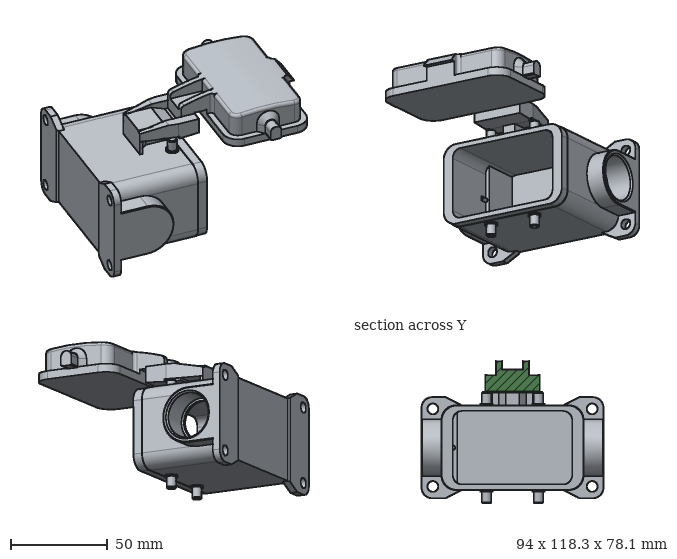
import cadquery as cq
import math


flange_half_x = 47.0
flange_half_z = 26.1
flange_thick = 4.0
flange_corner = 5.7
flange_taper_x = 34.5
flange_inner_x = 26.3
hole_x = 41.0
hole_z = 20.0
hole_diameter = 5.5

housing_half_x = 36.7
housing_half_z = 21.9
housing_front_y = 1.0
housing_back_y = 57.0
housing_corner = 7.7
rim_depth = 5.2
rim_inset = 0.2
side_wall = 3.0
end_wall = 5.9
floor_y = 4.7
step_y = 26.1
step_width = 2.4
key_radius = 1.2
key_length = 4.1

entry_y = 19.0
entry_radius = 14.7
entry_edge = 0.5
bore_radius = 11.8
bore_depth = 14.7
bore_chamfer = 1.0
bore_step_radius = 10.4

pin_x = 13.4
pin_y = 47.5
pin_radius = 2.5
pin_half_z = 28.8
pin_chamfer = 0.6
collar_radius = 3.3
collar_height = 0.8

bracket_half_x = 14.1
bracket_front_half_x = 10.6
bracket_back_y = 62.2
bracket_taper_y = 50.4
bracket_slope_y = 45.5
bracket_front_y = 30.4
bracket_top_z = 37.5
bracket_front_top_z = 34.5
bracket_bottom_z = 29.6
bracket_heel_z = 29.1
lug_bottom_z = 28.3
lug_back_y = 51.2
lug_front_y = 42.6
lug_half_x = 12.4
leg_thick = 1.5
post_half_x = 3.5
post_flare_half_x = 7.1
post_flare_y = 36.9
channel_floor_z = 32.7
ramp_foot_y = 52.8
plate_back_y = 45.2
plate_top_z = 35.5

cover_y = 92.3
cover_half_x = 37.6
cover_half_y = 23.3
cover_corner = 8.3
cover_bottom_z = 31.2
cover_lip_z = 35.6
crown_z = 49.3
crown_radius = 124.2
body_half_x = 34.1
body_half_y = 19.9
body_corner = 5.1
body_edge = 1.8

web_half_x = 8.5
web_fillet = 1.8
nose_y = 118.3
nose_z = 43.1
nose_shoulder_y = 114.5
arm_end_y = 54.5
arm_bottom_z = 38.0
arm_edge = 2.4
arm_slot_half_x = 5.3
arm_slot_floor_z = 40.3

trunnion_z = 40.3
trunnion_radius = 3.1
trunnion_half_x = 44.4
trunnion_top_z = 43.1
trunnion_bottom_z = 35.3
trunnion_bevel = 0.6
trunnion_root_radius = 6.3


def box(x0, x1, y0, y1, z0, z1):
    return cq.Workplane("XY").box(x1 - x0, y1 - y0, z1 - z0, centered=False).translate((x0, y0, z0))


def slab(half_x, half_z, y0, y1):
    """Rectangular block about the Y axis."""
    return box(-half_x, half_x, y0, y1, -half_z, half_z)


def both_sides(shape):
    return shape.union(shape.mirror("YZ"))


def profile_yz(half_x):
    """Workplane whose sketch (y, z) is extruded along +X from -half_x."""
    return cq.Workplane("YZ", origin=(-half_x, 0, 0))


def disc_z(x, y, radius, z0, z1):
    return cq.Workplane("XY", origin=(x, y, z0)).circle(radius).extrude(z1 - z0)


def disc_x(y, z, radius, x0, x1):
    return cq.Workplane("YZ", origin=(x0, y, z)).circle(radius).extrude(x1 - x0)


def make_flanges():
    outline = [
        (flange_inner_x, housing_half_z),
        (flange_taper_x, flange_half_z),
        (flange_half_x, flange_half_z),
        (flange_half_x, -flange_half_z),
        (flange_taper_x, -flange_half_z),
        (flange_inner_x, -housing_half_z),
    ]
    flange = cq.Workplane("XZ").polyline(outline).close().extrude(-flange_thick)
    flange = flange.edges("|Y and >X").fillet(flange_corner)
    flange = flange.edges("|Z and <X and <Y").chamfer(housing_front_y)
    holes = (
        cq.Workplane("XZ")
        .pushPoints([(hole_x, hole_z), (hole_x, -hole_z)])
        .circle(hole_diameter / 2)
        .extrude(-flange_thick)
    )
    return both_sides(flange.cut(holes))


def make_housing():
    rim_y = housing_back_y - rim_depth
    shell = slab(housing_half_x, housing_half_z, housing_front_y, rim_y)
    shell = shell.edges("|Y").fillet(housing_corner)
    rim = slab(housing_half_x - rim_inset, housing_half_z - rim_inset, rim_y, housing_back_y)
    rim = rim.edges("|Y").fillet(housing_corner - rim_inset)
    return shell.union(rim)


def make_cavity():
    """Interior, narrower in front of a step in the far wall, which carries a small key."""
    half_x = housing_half_x - end_wall
    half_z = housing_half_z - side_wall
    cavity = slab(half_x, half_z, floor_y, housing_back_y)
    cavity = cavity.edges("|Y").fillet(housing_corner - side_wall)
    step = box(half_x - step_width, half_x, floor_y, step_y, -half_z, half_z)
    key = cq.Workplane("XZ", origin=(half_x, step_y, 0)).circle(key_radius).extrude(-key_length)
    return cavity.cut(step).cut(key)


def make_entry_bosses():
    """Round bosses on both ends, continued as straight blocks to the flanges."""
    root_x = housing_half_x - housing_corner
    block = box(root_x, flange_half_x, flange_thick / 2, entry_y, -entry_radius, entry_radius)
    boss = block.union(disc_x(entry_y, 0, entry_radius, root_x, flange_half_x))
    boss = boss.faces(">X").edges("not <Y").chamfer(entry_edge)
    return both_sides(boss)


def make_entry_bore():
    """Stepped bore with a chamfered mouth, through the -X end only."""
    step_x = bore_depth - flange_half_x
    bore = disc_x(entry_y, 0, bore_radius, -flange_half_x, step_x)
    mouth = (
        cq.Workplane("YZ", origin=(-flange_half_x, entry_y, 0))
        .circle(bore_radius + bore_chamfer)
        .workplane(offset=bore_chamfer)
        .circle(bore_radius)
        .loft()
    )
    passage = disc_x(entry_y, 0, bore_step_radius, step_x, end_wall - housing_half_x)
    return bore.union(mouth).union(passage)


def make_pins():
    """Two pins standing out of the top and two out of the bottom of the housing."""
    root_z = housing_half_z - side_wall / 2
    pin = disc_z(pin_x, pin_y, pin_radius, root_z, pin_half_z).faces(">Z").chamfer(pin_chamfer)
    collar = disc_z(pin_x, pin_y, collar_radius, root_z, housing_half_z + collar_height)
    upper = both_sides(pin.union(collar))
    return upper.union(upper.mirror("XY"))


def make_bracket():
    side = [
        (bracket_back_y, bracket_top_z),
        (bracket_slope_y, bracket_top_z),
        (bracket_front_y, bracket_front_top_z),
        (bracket_front_y, bracket_bottom_z),
        (lug_back_y, bracket_bottom_z),
        (lug_back_y, lug_bottom_z),
        (bracket_back_y, bracket_heel_z),
    ]
    plan = [
        (bracket_half_x, bracket_back_y),
        (bracket_half_x, bracket_taper_y),
        (bracket_front_half_x, bracket_front_y),
        (-bracket_front_half_x, bracket_front_y),
        (-bracket_half_x, bracket_taper_y),
        (-bracket_half_x, bracket_back_y),
    ]
    bracket = profile_yz(bracket_half_x).polyline(side).close().extrude(2 * bracket_half_x)
    bracket = bracket.intersect(cq.Workplane("XY").polyline(plan).close().extrude(bracket_top_z))
    channel = box(-web_half_x, web_half_x, bracket_front_y, bracket_back_y, channel_floor_z, bracket_top_z)
    plate_side = [
        (bracket_front_y, bracket_bottom_z),
        (bracket_front_y, plate_top_z),
        (plate_back_y, plate_top_z),
        (ramp_foot_y, channel_floor_z),
        (ramp_foot_y, bracket_bottom_z),
    ]
    plate = profile_yz(web_half_x).polyline(plate_side).close().extrude(2 * web_half_x)
    lug = box(-lug_half_x, lug_half_x, lug_front_y, lug_back_y, lug_bottom_z, bracket_bottom_z)
    return bracket.cut(channel).union(plate).union(lug).union(make_post())


def make_post():
    """Support under the bracket, flaring out to the front leg."""
    leg_back_y = bracket_front_y + leg_thick
    half_outline = [
        (post_half_x, lug_back_y),
        (post_half_x, post_flare_y),
        (post_flare_half_x, leg_back_y),
        (bracket_front_half_x, leg_back_y),
        (bracket_front_half_x, bracket_front_y),
    ]
    outline = half_outline + [(-x, y) for x, y in reversed(half_outline)]
    post_z = housing_half_z - side_wall / 2
    post = cq.Workplane("XY", origin=(0, 0, post_z)).polyline(outline).close()
    return post.extrude(bracket_bottom_z - post_z)


def crown_height(y):
    """Height of the cylindrical cover top at a given y."""
    return crown_z - crown_radius + math.sqrt(crown_radius**2 - (y - cover_y) ** 2)


def make_under_crown(half_x):
    """Everything below the crowned top, between arm end and latch nose."""
    return (
        profile_yz(half_x)
        .moveTo(arm_end_y, cover_bottom_z)
        .lineTo(arm_end_y, crown_height(arm_end_y))
        .threePointArc((cover_y, crown_z), (nose_y, crown_height(nose_y)))
        .lineTo(nose_y, cover_bottom_z)
        .close()
        .extrude(2 * half_x)
    )


def cover_block(half_x, half_y, corner, z0, z1):
    block = box(-half_x, half_x, cover_y - half_y, cover_y + half_y, z0, z1)
    return block.edges("|Z").fillet(corner)


def make_web():
    """Latch nose and hinge arm as one bar under the crown."""
    back_y = cover_y + cover_half_y
    front_y = cover_y - cover_half_y
    return (
        profile_yz(web_half_x)
        .moveTo(arm_end_y, channel_floor_z)
        .lineTo(arm_end_y, crown_height(arm_end_y))
        .threePointArc((cover_y, crown_z), (nose_shoulder_y, crown_height(nose_shoulder_y)))
        .lineTo(nose_y, nose_z)
        .lineTo(back_y, nose_z)
        .lineTo(back_y, cover_bottom_z)
        .lineTo(front_y, cover_bottom_z)
        .lineTo(front_y, arm_bottom_z)
        .lineTo(bracket_back_y, arm_bottom_z)
        .lineTo(bracket_back_y, channel_floor_z)
        .close()
        .extrude(2 * web_half_x)
    )


def make_web_fillets():
    """Concave corners where the web leaves the front and back of the cover body."""
    corners = None
    half_x = web_half_x + web_fillet
    for side in (1, -1):
        wall_y = cover_y + side * body_half_y
        centre_y = wall_y + side * web_fillet
        y0, y1 = sorted((wall_y - side * body_edge, centre_y))
        pad = box(-half_x, half_x, y0, y1, cover_bottom_z, crown_z)
        for x in (half_x, -half_x):
            pad = pad.cut(disc_z(x, centre_y, web_fillet, cover_bottom_z, crown_z))
        corners = pad if corners is None else corners.union(pad)
    return corners.intersect(make_under_crown(half_x))


def make_trunnion_root():
    """Arch narrowing outwards from the body end: half a cone on straight flanks."""
    plan = [
        (body_half_x, cover_y - trunnion_root_radius),
        (cover_half_x, cover_y - trunnion_radius),
        (cover_half_x, cover_y + trunnion_radius),
        (body_half_x, cover_y + trunnion_root_radius),
    ]
    flanks = cq.Workplane("XY", origin=(0, 0, cover_lip_z)).polyline(plan).close()
    flanks = flanks.extrude(trunnion_z - cover_lip_z)
    cone = (
        cq.Workplane("YZ", origin=(body_half_x, cover_y, trunnion_z))
        .circle(trunnion_root_radius)
        .workplane(offset=cover_half_x - body_half_x)
        .circle(trunnion_radius)
        .loft()
    )
    lower_half = box(0, cover_half_x, 0, nose_y, 0, trunnion_z)
    return flanks.union(cone.cut(lower_half))


def make_trunnions():
    """Round-topped stubs on both ends of the cover, each growing out of an arch."""
    left_y = cover_y - trunnion_radius
    right_y = cover_y + trunnion_radius
    stub = (
        cq.Workplane("YZ", origin=(body_half_x, 0, 0))
        .moveTo(left_y, trunnion_bottom_z)
        .lineTo(left_y, trunnion_z)
        .threePointArc((cover_y, trunnion_top_z), (right_y, trunnion_z))
        .lineTo(right_y, trunnion_bottom_z)
        .close()
        .extrude(trunnion_half_x - body_half_x)
    )
    stub = stub.edges("|X and <Z").chamfer(trunnion_bevel)
    return both_sides(make_trunnion_root().union(stub))


def make_cover():
    lip = cover_block(cover_half_x, cover_half_y, cover_corner, cover_bottom_z, cover_lip_z)
    body = cover_block(body_half_x, body_half_y, body_corner, cover_bottom_z, crown_z)
    body = body.intersect(make_under_crown(body_half_x)).faces(">Z").edges().fillet(body_edge)
    web = make_web().union(make_web_fillets())
    web = web.faces("<Y").edges(">Z").fillet(arm_edge)
    slot = box(-arm_slot_half_x, arm_slot_half_x, arm_end_y, cover_y, arm_slot_floor_z, crown_z)
    return lip.union(body).union(web.cut(slot)).union(make_trunnions())


housing = make_housing().union(make_flanges()).union(make_entry_bosses())
housing = housing.cut(make_cavity()).cut(make_entry_bore())
result = housing.union(make_pins()).union(make_bracket()).union(make_cover())